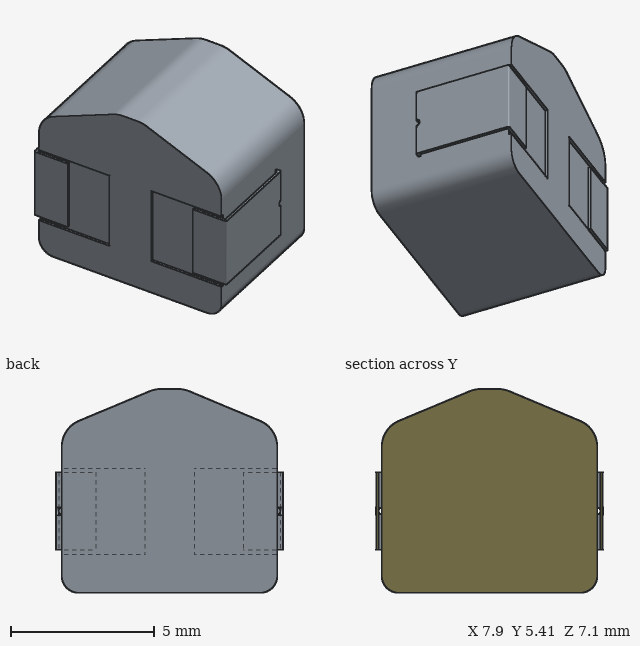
import cadquery as cq
import math

BODY_WIDTH = 7.51
BODY_DEPTH = 5.41
BODY_HEIGHT = 7.1
BASE_CORNER_RADIUS = 0.6
ROOF_CORNER_RADIUS = 1.0
RIDGE_WIDTH = 1.0
ROOF_ANGLE = 22.7

OVERALL_WIDTH = 7.9
SHEET = 0.1
TERMINAL_HEIGHT = 2.7
TERMINAL_MID_Z = 2.85
TERMINAL_DEPTH = 3.6
FOOT_END_X = 2.57
BEND_OUTER_RADIUS = 0.05
BEND_INNER_RADIUS = 0.05
NOTCH_RADIUS = 0.14

RECESS_HEIGHT = 3.0
RECESS_MID_Z = 2.84
RECESS_INNER_X = 0.86

BODY_SIDE_X = BODY_WIDTH / 2
TERMINAL_SIDE_X = OVERALL_WIDTH / 2
SIDES = (-1, 1)


def front_recess(side):
    """Cutter for a shallow pocket, open at the body's side, as deep as the sheet is thick."""
    length = BODY_SIDE_X - RECESS_INNER_X
    mid_x = side * (BODY_SIDE_X + RECESS_INNER_X) / 2
    return (
        cq.Workplane("XY")
        .box(length, SHEET, RECESS_HEIGHT)
        .translate((mid_x, SHEET / 2, RECESS_MID_Z))
    )


def make_body():
    ridge_x = RIDGE_WIDTH / 2
    eave_z = BODY_HEIGHT - (BODY_SIDE_X - ridge_x) * math.tan(math.radians(ROOF_ANGLE))
    outline = [
        (-BODY_SIDE_X, 0),
        (BODY_SIDE_X, 0),
        (BODY_SIDE_X, eave_z),
        (ridge_x, BODY_HEIGHT),
        (-ridge_x, BODY_HEIGHT),
        (-BODY_SIDE_X, eave_z),
    ]
    block = (
        cq.Workplane("XZ")
        .polyline(outline)
        .close()
        .extrude(-BODY_DEPTH)
        .edges("|Y and <Z")
        .fillet(BASE_CORNER_RADIUS)
    )
    roof_zone = cq.selectors.BoxSelector(
        (-BODY_WIDTH, 0, eave_z / 2),
        (BODY_WIDTH, BODY_DEPTH, 2 * BODY_HEIGHT),
    )
    block = block.edges("|Y").edges(roof_zone).fillet(ROOF_CORNER_RADIUS)
    for side in SIDES:
        block = block.cut(front_recess(side))
    return block


def make_terminal(side):
    """Side plate spaced off the body, with a foot in the front recess and a rear tab against the wall."""
    outer_x = side * TERMINAL_SIDE_X
    inner_x = side * (TERMINAL_SIDE_X - SHEET)
    wall_x = side * BODY_SIDE_X
    foot_x = side * FOOT_END_X
    tab_front_y = TERMINAL_DEPTH - SHEET
    bottom_z = TERMINAL_MID_Z - TERMINAL_HEIGHT / 2
    strip = (
        cq.Workplane("XY", origin=(0, 0, bottom_z))
        .moveTo(foot_x, 0)
        .lineTo(outer_x, 0)
        .lineTo(outer_x, TERMINAL_DEPTH)
        .lineTo(wall_x, TERMINAL_DEPTH)
        .lineTo(wall_x, tab_front_y)
        .lineTo(inner_x, tab_front_y)
        .lineTo(inner_x, SHEET)
        .lineTo(foot_x, SHEET)
        .close()
        .extrude(TERMINAL_HEIGHT)
    )
    outer_bends = "|Z and >X" if side > 0 else "|Z and <X"
    strip = strip.edges(outer_bends).fillet(BEND_OUTER_RADIUS)
    rear_inner_bend = cq.selectors.NearestToPointSelector((inner_x, tab_front_y, TERMINAL_MID_Z))
    strip = strip.edges("|Z").edges(rear_inner_bend).fillet(BEND_INNER_RADIUS)
    notch = (
        cq.Workplane("YZ", origin=(wall_x, TERMINAL_DEPTH, TERMINAL_MID_Z))
        .circle(NOTCH_RADIUS)
        .extrude(outer_x - wall_x)
    )
    return strip.cut(notch)


body = make_body()
terminals = [make_terminal(side) for side in SIDES]

result = cq.Compound.makeCompound([body.val(), *[terminal.val() for terminal in terminals]])